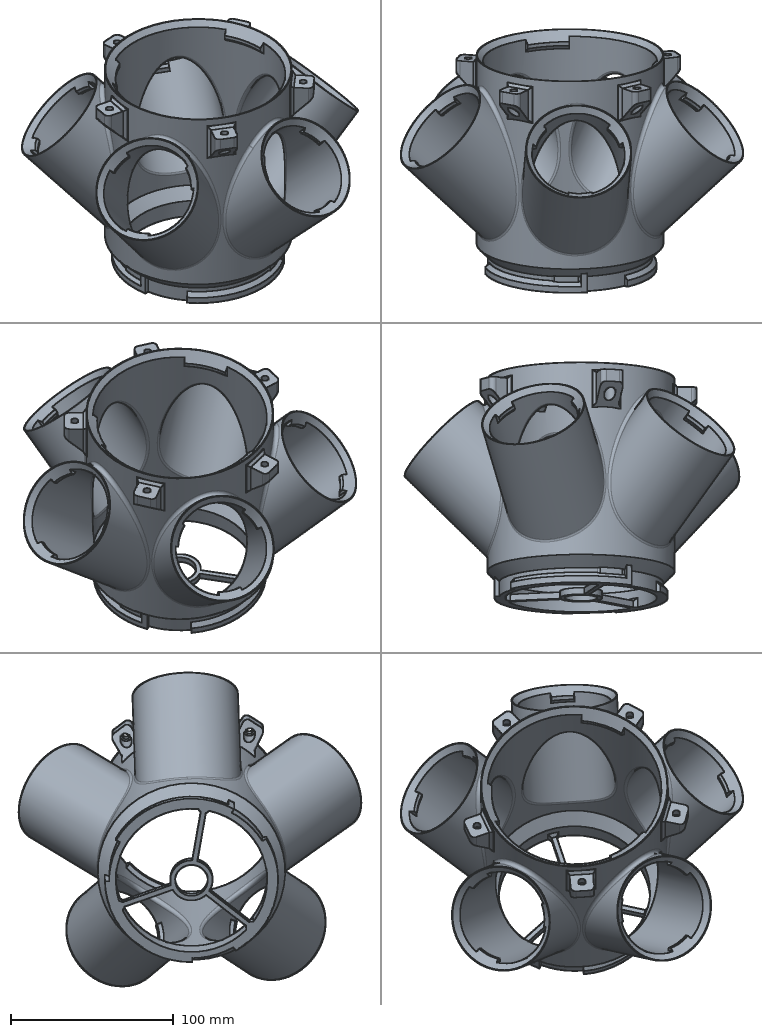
import cadquery as cq
import math

height = 136.5
wall = 4.0
body_radius = 57.5
bore_radius = body_radius - wall
neck_radius = 50.5
neck_bore_radius = neck_radius - wall
neck_root = neck_radius - wall / 2
neck_height = 9.5
body_bottom = neck_height + body_radius - neck_radius
cone_shift = wall * math.tan(math.radians(45 / 2))
inner_cone_bottom = neck_height + cone_shift
inner_cone_top = body_bottom + cone_shift
rim_land = 0.5

tube_count = 5
tube_pitch = 360 / tube_count
first_tube_angle = 90
tube_radius = 32.5
tube_bore_radius = tube_radius - wall
tube_tilt = 45
tube_end_reach = 85.47
tube_end_z = 99.9
tube_start_reach = 25.0
tube_length = (tube_end_reach - tube_start_reach) / math.sin(math.radians(tube_tilt))
joint_fillet = 2.0

bayonet_count = 3
bayonet_pitch = 360 / bayonet_count
tab_span = 30
tab_face = 2.4
body_tab_depth = 2.7
tube_tab_depth = 2.0
first_body_tab_angle = 114

lug_radius = 53.2
lug_rim_height = 4.0
first_lug_angle = 80
lug_span = 90
stop_span = 4
catch_span = 20.5
catch_ramp = 2.0
catch_radius = neck_radius + 0.5
catch_start = lug_span - stop_span - catch_span

spoke_ring_radius = 13.0
spoke_ring_bore = 10.0
spoke_width = 3.2
spoke_thickness = 4.0
spoke_flare = 2.0
first_spoke_angle = 30

bracket_width = 14.4
bracket_reach = 71.0
bracket_top = 130.0
bracket_corner = 3.0
bracket_flare = 1.8
bracket_bottom = 109.0
bracket_hole_reach = 64.5
bracket_hole = 4.4
bracket_head_hole = 7.0
bracket_floor = 5.0


def rotated(shape, angle):
    return shape.rotate((0, 0, 0), (0, 0, 1), angle)


def cylinder(radius, bottom, top):
    return cq.Workplane("XY").workplane(offset=bottom).circle(radius).extrude(top - bottom)


def sector(profile, start, span):
    """Turn an (r, z) profile about Z through `span` degrees, beginning at angle `start`."""
    turned_part = cq.Workplane("XZ").polyline(profile).close().revolve(span, (0, 0, 0), (0, 1, 0))
    low_side_first = turned_part.val().Center().y > 0
    return rotated(turned_part, start if low_side_first else start + span)


def tube_axis_plane():
    """Plane of a tube mouth lying over +X; its local X points down and outwards."""
    tilt = math.radians(tube_tilt)
    return cq.Plane(
        origin=(tube_end_reach, 0, tube_end_z),
        xDir=(math.cos(tilt), 0, -math.sin(tilt)),
        normal=(math.sin(tilt), 0, math.cos(tilt)),
    )


def turned(profile):
    return cq.Workplane("XZ").polyline(profile).close().revolve(360, (0, 0, 0), (0, 1, 0))


def at_tubes(shape):
    return [rotated(shape, first_tube_angle + i * tube_pitch) for i in range(tube_count)]


def on_tube_mouth(shape):
    return shape.newObject([shape.val().moved(cq.Location(tube_axis_plane()))])


def socket_mouth(void, outer_radius, tab_depth, first_tab_angle):
    """Shape the void of a socket whose mouth lies at z = 0: leave out the tabs, then bevel the mouth.

    The bevel runs at 45 degrees from the rim land down to the inner faces of the tabs, and the
    undersides of the tabs slope back to the bore at 45 degrees.
    """
    bore = outer_radius - wall
    root = bore + wall / 2
    inner = bore - tab_depth
    bevel_radius = outer_radius - rim_land
    inner_bottom = inner - bevel_radius - tab_face
    tab = [
        (inner, inner_bottom),
        (inner, 0),
        (root, 0),
        (root, inner_bottom - root + inner),
    ]
    for i in range(bayonet_count):
        void = void.cut(sector(tab, first_tab_angle + i * bayonet_pitch - tab_span / 2, tab_span))
    return void.union(turned([(0, 0), (bevel_radius, 0), (0, -bevel_radius)]))


def join_tubes(body, tube):
    """Join a tube over +Z, with its mouth at z = 0, to the body at every tube place."""
    for placed in at_tubes(on_tube_mouth(tube)):
        body = body.union(placed)
    return body


def outer_form():
    """Body and tubes before hollowing."""
    body = turned([
        (0, 0),
        (neck_radius, 0),
        (neck_radius, neck_height),
        (body_radius, body_bottom),
        (body_radius, height),
        (0, height),
    ])
    return join_tubes(body, cylinder(tube_radius, -tube_length, 0))


def inner_void():
    """Hollow of body and tubes, with the bayonet sockets in their mouths."""
    body = turned([
        (0, -height),
        (neck_bore_radius, -height),
        (neck_bore_radius, inner_cone_bottom - height),
        (bore_radius, inner_cone_top - height),
        (bore_radius, 0),
        (0, 0),
    ])
    body = socket_mouth(body, body_radius, body_tab_depth, first_body_tab_angle)
    bore = cylinder(tube_bore_radius, -tube_length, 0)
    bore = socket_mouth(bore, tube_radius, tube_tab_depth, 0)
    return join_tubes(body.translate((0, 0, height)), bore)


def shell():
    """Hollow body and tubes, rounded inside and outside where they meet.

    Only the joints between round walls are neither straight nor circular.
    """
    hollow = outer_form().cut(inner_void())
    joints = [edge for edge in hollow.edges().vals() if edge.geomType() not in ("CIRCLE", "LINE")]
    return hollow.newObject(joints).fillet(joint_fillet)


def add_lugs(part):
    """Three lugs with 45 degree tops, each closed by a full-height stop and a low catch before it."""
    lug = [
        (neck_root, 0),
        (lug_radius, 0),
        (lug_radius, lug_rim_height),
        (neck_root, lug_rim_height + lug_radius - neck_root),
    ]
    stop = [
        (neck_root, 0),
        (lug_radius, 0),
        (lug_radius, neck_height + lug_radius - neck_radius),
        (neck_radius, neck_height),
        (neck_root, neck_height),
    ]
    for i in range(bayonet_count):
        start = first_lug_angle + i * bayonet_pitch
        part = part.union(sector(lug, start, lug_span))
        part = part.union(sector(stop, start + lug_span - stop_span, stop_span))
        part = part.union(rotated(catch(), start + catch_start))
    return part


def catch():
    """Low raised band on the neck, ramped at both ends, beginning at +X and running up into the cone."""
    def point(radius, angle):
        return (radius * math.cos(math.radians(angle)), radius * math.sin(math.radians(angle)))

    middle = catch_span / 2
    top = neck_height + catch_radius - neck_radius
    return (
        cq.Workplane("XY").workplane(offset=lug_rim_height)
        .moveTo(*point(neck_root, 0))
        .lineTo(*point(neck_radius, 0))
        .lineTo(*point(catch_radius, catch_ramp))
        .threePointArc(point(catch_radius, middle), point(catch_radius, catch_span - catch_ramp))
        .lineTo(*point(neck_radius, catch_span))
        .lineTo(*point(neck_root, catch_span))
        .threePointArc(point(neck_root, middle), point(neck_root, 0))
        .close().extrude(top - lug_rim_height)
    )


def spoke():
    """Spoke over +X, its top and sides flared at 45 degrees where it meets the neck."""
    half_width = spoke_width / 2
    flare_half_width = half_width + spoke_flare
    flare_start = neck_bore_radius - spoke_flare
    side = cq.Workplane("XZ").polyline([
        (0, 0),
        (0, spoke_thickness),
        (flare_start, spoke_thickness),
        (neck_bore_radius, spoke_thickness + spoke_flare),
        (neck_root, spoke_thickness + spoke_flare),
        (neck_root, 0),
    ]).close().extrude(flare_half_width, both=True)
    plan = cq.Workplane("XY").polyline([
        (0, half_width),
        (flare_start, half_width),
        (neck_bore_radius, flare_half_width),
        (neck_root, flare_half_width),
        (neck_root, -flare_half_width),
        (neck_bore_radius, -flare_half_width),
        (flare_start, -half_width),
        (0, -half_width),
    ]).close().extrude(neck_height)
    return side.intersect(plan)


def add_spokes(part):
    ring = cylinder(spoke_ring_radius, 0, spoke_thickness)
    for i in range(bayonet_count):
        ring = ring.union(rotated(spoke(), first_spoke_angle + i * bayonet_pitch))
    return part.union(ring.cut(cylinder(spoke_ring_bore, 0, spoke_thickness)))


def bracket():
    """Screw bracket over +X: sloping underside, rounded outer corners, top and sides flared at the body."""
    root = body_radius - wall / 2
    flare_end = body_radius + bracket_flare
    half_width = bracket_width / 2
    flare_half_width = half_width + bracket_flare
    side = cq.Workplane("XZ").polyline([
        (root, bracket_top + bracket_flare),
        (body_radius, bracket_top + bracket_flare),
        (flare_end, bracket_top),
        (bracket_reach, bracket_top),
        (bracket_reach, bracket_bottom + bracket_reach - body_radius),
        (root, bracket_bottom + root - body_radius),
    ]).close().extrude(flare_half_width, both=True)
    plan = cq.Workplane("XY").polyline([
        (root, flare_half_width),
        (body_radius, flare_half_width),
        (flare_end, half_width),
        (bracket_reach, half_width),
        (bracket_reach, -half_width),
        (flare_end, -half_width),
        (body_radius, -flare_half_width),
        (root, -flare_half_width),
    ]).close().extrude(height)
    return side.intersect(plan.edges("|Z and >X").fillet(bracket_corner))


def add_brackets(part):
    hole = cylinder(bracket_hole / 2, bracket_bottom, bracket_top)
    hole = hole.union(cylinder(bracket_head_hole / 2, bracket_bottom, bracket_top - bracket_floor))
    hole = hole.translate((bracket_hole_reach, 0, 0))
    for i in range(tube_count):
        angle = first_tube_angle + (i + 0.5) * tube_pitch
        part = part.union(rotated(bracket(), angle)).cut(rotated(hole, angle))
    return part


result = add_lugs(shell())
result = add_spokes(result)
result = add_brackets(result)